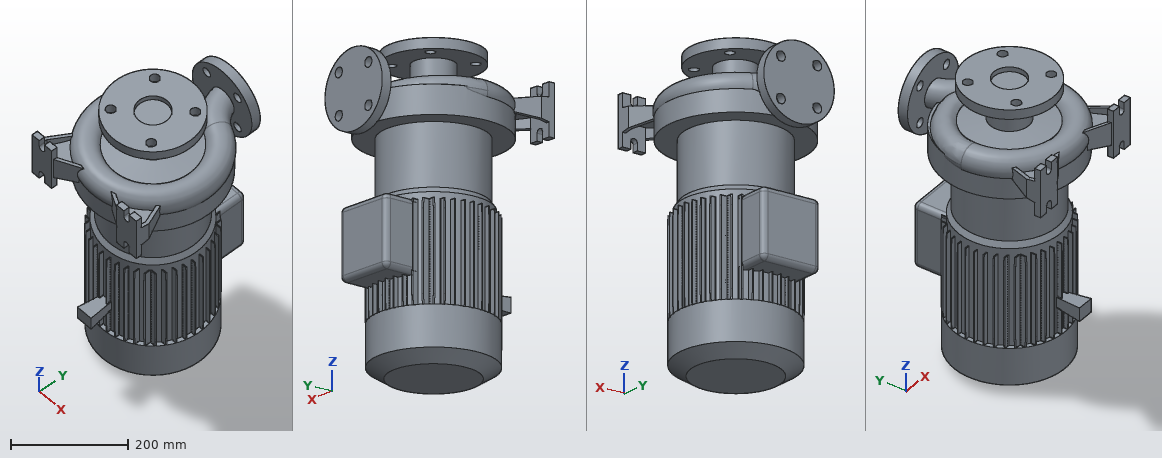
import cadquery as cq
import math


cowl_radius = 116.5
cowl_end_radius = 85.0
cowl_bevel_height = 20.0
cowl_top = 97.5
frame_radius = 108.0
frame_top = 301.5

fin_count = 40
fins_per_group = fin_count // 4
fin_step = 360 / fin_count
fin_thickness = 2.05
fin_top = 288.5
fin_radius = 117.0
fin_end_radius = cowl_radius
fin_bevel_height = 18.5

lantern_radius = 100.0
lantern_bottom = 312.0

casing_radius = 140.0
casing_top = 484.5
casing_bottom = 429.5
volute_z = 483.0
volute_width = 284.0
tube_diameter = 54.0
tube_radius = tube_diameter / 2
ring_radius = (volute_width - tube_diameter) / 2
cover_rim_radius = 91.0
cover_rim_z = 494.0
cover_neck_z = 499.5

tail_start_angle = 180
tail_end_angle = 65
tail_sections = 6
tail_end_tube_radius = 20.0
tail_end_ring_radius = 108.5

total_height = 583.0
flange_thickness = 20.0
inlet_flange_radius = 92.5
inlet_neck_radius = 40.0
inlet_bore_radius = 32.5
inlet_bore_depth = 10.0
inlet_bolt_circle_radius = 72.5

bend_turn = math.radians(tail_end_angle)
bend_radius = ring_radius * math.cos(bend_turn) / (1 - math.cos(bend_turn))
outlet_face_y = (ring_radius + bend_radius) * math.sin(bend_turn)
outlet_flange_radius = 75.0
outlet_bolt_circle_radius = 55.0

bolt_hole_radius = 9.5
bolt_count = 4
first_bolt_angle = 45

box_width = 122.5
box_front_y = 160.0
box_back_y = 87.5
box_bottom = 154.0
box_edge_radius = 10.5

foot_face_y = -160.0
tab_z = 161.5
tab_end_width = 34.5
tab_end_height = 28.5
tab_root_width = 22.0
tab_root_height = 21.5
tab_root_y = -105.0

foot_x = 106.5
plate_width = 49.5
plate_outer_x = foot_x + plate_width / 2
plate_inner_x = foot_x - plate_width / 2
plate_height = 99.0
plate_thickness = 12.0
slot_width = 13.5
slot_depth = 21.0
web_thickness = 7.0
web_face_height = 49.5
web_end_height = 19.0
web_bend_y = -130.0
outer_web_end_x = 104.5
outer_web_end_y = -71.0
inner_web_end_x = 30.5
inner_web_end_y = -127.0
inner_web_corner_y = -155.5
floor_thickness = web_thickness


def revolved(points):
    """Turns (radius, z) points about the Z axis into a solid."""
    return cq.Workplane("XZ").polyline(points).close().revolve(360, (0, 0, 0), (0, 1, 0))


def make_body():
    flange_bottom = total_height - flange_thickness
    return revolved(
        [
            (0, 0),
            (cowl_end_radius, 0),
            (cowl_radius, cowl_bevel_height),
            (cowl_radius, cowl_top),
            (frame_radius, cowl_top),
            (frame_radius, frame_top),
            (lantern_radius, lantern_bottom),
            (lantern_radius, casing_bottom),
            (casing_radius, casing_bottom),
            (casing_radius, casing_top),
            (cover_rim_radius, casing_top),
            (cover_rim_radius, cover_rim_z),
            (inlet_neck_radius, cover_neck_z),
            (inlet_neck_radius, flange_bottom),
            (inlet_flange_radius, flange_bottom),
            (inlet_flange_radius, total_height),
            (0, total_height),
        ]
    )


def make_fins():
    envelope = revolved(
        [
            (0, cowl_top),
            (fin_end_radius, cowl_top),
            (fin_radius, cowl_top + fin_bevel_height),
            (fin_radius, fin_top - fin_bevel_height),
            (fin_end_radius, fin_top),
            (0, fin_top),
        ]
    )
    fin_height = fin_top - cowl_top
    plates = cq.Workplane()
    for index in range(fins_per_group):
        angle = math.radians((index - (fins_per_group - 1) / 2) * fin_step)
        offset = cowl_radius * math.sin(angle)
        start = abs(offset)
        plate = cq.Workplane().box(
            2 * fin_radius, fin_thickness, fin_height, centered=(False, True, False)
        )
        plate = plate.translate((start, offset, cowl_top))
        for quarter in range(4):
            plates = plates.add(plate.rotate((0, 0, 0), (0, 0, 1), 90 * quarter))
    return plates.combine().intersect(envelope)


def ring_circle(angle, center_radius, radius):
    """Tube cross section at an angle about Z, square to the volute ring."""
    turn = math.radians(angle)
    center = cq.Vector(center_radius * math.cos(turn), center_radius * math.sin(turn), volute_z)
    tangent = cq.Vector(-math.sin(turn), math.cos(turn), 0)
    return cq.Wire.makeCircle(radius, center, tangent)


def make_volute():
    ring = (
        cq.Workplane("XZ")
        .center(ring_radius, volute_z)
        .circle(tube_radius)
        .revolve(
            360 - tail_start_angle + tail_end_angle,
            (-ring_radius, 0, 0),
            (-ring_radius, 1, 0),
        )
        .rotate((0, 0, 0), (0, 0, 1), tail_start_angle)
    )
    sections = []
    for index in range(tail_sections):
        share = index / (tail_sections - 1)
        sections.append(
            ring_circle(
                tail_start_angle + share * (tail_end_angle - tail_start_angle),
                ring_radius + share * (tail_end_ring_radius - ring_radius),
                tube_radius + share * (tail_end_tube_radius - tube_radius),
            )
        )
    return ring.union(cq.Workplane(cq.Solid.makeLoft(sections)))


def make_outlet_pipe():
    return (
        cq.Workplane("XZ", origin=(0, outlet_face_y, volute_z))
        .circle(tube_radius)
        .revolve(tail_end_angle, (bend_radius, 0, 0), (bend_radius, 1, 0))
    )


def bolt_holes(circle_radius):
    return (
        cq.Workplane()
        .polarArray(circle_radius, first_bolt_angle, 360, bolt_count)
        .circle(bolt_hole_radius)
        .extrude(flange_thickness)
    )


def make_outlet_flange():
    flange = cq.Workplane().circle(outlet_flange_radius).extrude(flange_thickness)
    flange = flange.cut(bolt_holes(outlet_bolt_circle_radius))
    return flange.rotate((0, 0, 0), (1, 0, 0), 90).translate((0, outlet_face_y, volute_z))


def make_terminal_box():
    depth = box_front_y - box_back_y
    return (
        cq.Workplane()
        .box(box_width, depth, fin_top - box_bottom, centered=(True, False, False))
        .translate((0, box_back_y, box_bottom))
        .edges(">Y or |Y")
        .fillet(box_edge_radius)
    )


def make_tab():
    return (
        cq.Workplane("XZ", origin=(0, foot_face_y, tab_z))
        .rect(tab_end_width, tab_end_height)
        .workplane(offset=foot_face_y - tab_root_y)
        .rect(tab_root_width, tab_root_height)
        .loft()
    )


def foot_outline():
    """Plan of the webs, from the plate face to the ends buried in the volute."""
    return (
        cq.Workplane("XY", origin=(0, 0, volute_z - plate_height / 2))
        .moveTo(plate_outer_x, foot_face_y)
        .lineTo(plate_outer_x, web_bend_y)
        .lineTo(outer_web_end_x, outer_web_end_y)
        .lineTo(inner_web_end_x, inner_web_end_y)
        .lineTo(plate_inner_x, inner_web_corner_y)
        .lineTo(plate_inner_x, foot_face_y)
        .close()
    )


def make_foot():
    """Foot on the +X side: slotted plate, two webs and the floor between them."""
    plate = cq.Workplane("XZ", origin=(foot_x, foot_face_y, volute_z)).rect(plate_width, plate_height)
    plate = plate.extrude(-plate_thickness)
    for side in (-1, 1):
        slot = (
            cq.Workplane("XZ", origin=(foot_x, foot_face_y, volute_z))
            .center(0, side * plate_height / 2)
            .slot2D(2 * slot_depth, slot_width, 90)
            .extrude(-plate_thickness)
        )
        plate = plate.cut(slot)

    wedge = (
        cq.Workplane("YZ", origin=(0, 0, volute_z))
        .moveTo(foot_face_y, -web_face_height / 2)
        .lineTo(outer_web_end_y, -web_end_height / 2)
        .lineTo(outer_web_end_y, web_end_height / 2)
        .lineTo(foot_face_y, web_face_height / 2)
        .close()
        .extrude(plate_outer_x)
    )
    floor = foot_outline().extrude(floor_thickness)
    floor = floor.translate((0, 0, (plate_height - floor_thickness) / 2))
    bracket = foot_outline().extrude(plate_height).intersect(wedge)
    pocket = foot_outline().offset2D(-web_thickness, "intersection").extrude(plate_height).cut(floor)
    return plate.union(bracket.cut(pocket))


def make_inlet_holes():
    bore = cq.Workplane().circle(inlet_bore_radius).extrude(inlet_bore_depth)
    holes = bolt_holes(inlet_bolt_circle_radius).translate((0, 0, total_height - flange_thickness))
    return holes.union(bore.translate((0, 0, total_height - inlet_bore_depth)))


foot = make_foot()
result = (
    make_body()
    .union(make_fins())
    .union(make_volute())
    .union(make_outlet_pipe())
    .union(make_outlet_flange())
    .union(make_terminal_box())
    .union(make_tab())
    .union(foot)
    .union(foot.mirror("YZ"))
    .cut(make_inlet_holes())
)